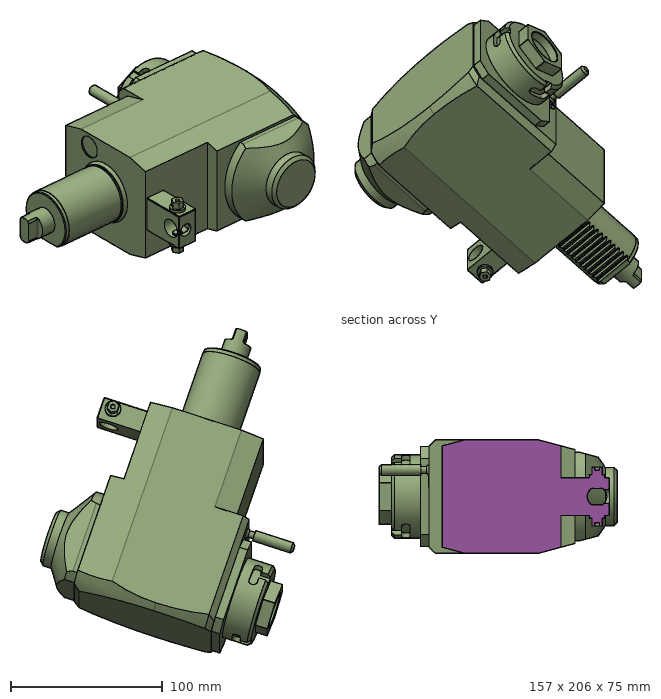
import cadquery as cq
import math


HALF_HEIGHT = 37.5
SPINDLE_Y = 100.0
BACK_Y = 134.0
HEAD_LEFT = -47.8
HEAD_RIGHT = 48.5
HEAD_FRONT_Y = 55.0
NECK_HALF_WIDTH = 39.2
SLOPE_START_X = 24.0
SLOPE = math.tan(math.radians(15))
HEAD_EDGE_CHAMFER = 4.2
BACK_CORNER_X = 4.6
BACK_CORNER_Y = 3.6
CROWN_CENTRE_X = -8.0
CROWN_RADIUS = 47.7
CROWN_LEFT_ARC_RADIUS = 290.0
CROWN_RIGHT_ARC_RADIUS = 180.0
CROWN_LEFT_CHAMFER = 2.0
MARK_X = -15.9
MARK_Z = 27.3
MARK_RADIUS = 7.7
MARK_DEPTH = 1.0

PLATE_LEFT = -53.5
PLATE_HALF = 33.0
PLATE_CHAMFER = 8.0
NUT_LEFT = -72.6
NUT_RADIUS = 27.6
NUT_CHAMFER = 2.0
NUT_SLOT_COUNT = 3
NUT_SLOT_X = -63.0
NUT_SLOT_WIDTH = 5.6
NUT_SLOT_HALF_ANGLE = 19.3
NUT_SLOT_DEPTH = 3.3
HEX_LEFT = -80.7
HEX_FLATS = 32.0
HEX_TURNED_RADIUS = 18.4
HEX_BORE_RADIUS = 12.0
HEX_BORE_DEPTH = 6.0
HEX_BORE_CHAMFER = 0.4

PIN_Y = 60.5
PIN_Z = 17.5
PIN_LEFT = -80.7
PIN_RADIUS = 3.6
PIN_CHAMFER = 1.5
PIN_NECK_LEFT = -53.2
PIN_NECK_RADIUS = 2.3
PIN_COLLAR_LEFT = -49.6
PIN_COLLAR_RADIUS = 3.9
PLUG_Z = 10.4
PLUG_RADIUS = 4.0
PLUG_HEIGHT = 0.5
PLUG_HOLE_RADIUS = 1.5
PLUG_HOLE_DEPTH = 2.0

CAP_RADIUS = 38.0
CAP_CONE_X = 55.4
CAP_BOSS_X = 68.3
CAP_RIGHT = 76.3
CAP_BOSS_RADIUS = 19.3
CAP_BOSS_CHAMFER = 2.3
CAP_FLAT_Y = 130.0
CAP_FLAT_Z = 29.2
CAP_SLOPE_X = 51.5

SHANK_RADIUS = 20.0
SHANK_END_Y = -53.2
SHANK_END_STEP = 3.0
SHANK_END_RADIUS = 19.7
SHANK_END_CHAMFER = 0.6
COLLAR_RADIUS = 21.5
COLLAR_LENGTH = 2.6
COLLAR_ROUNDING = 1.2
COLLAR_GROOVE_RADIUS = 19.7
COLLAR_GROOVE_END_Y = -3.9
RACK_Z = -15.7
RACK_RAMP_Y = -4.6
RACK_PITCH = 4.0
RACK_GROOVES = 10
RACK_FIRST_Y = -12.2
RACK_GROOVE_DEPTH = 1.4
RACK_GROOVE_HALF_WIDTH = 1.5
RACK_ROOT_HALF_WIDTH = 0.4
DRIVE_RADIUS = 9.1
DRIVE_SHOULDER_Y = -64.0
DRIVE_END_Y = -72.0
TANG_WIDTH = 8.2
TANG_FLAT_HALF_HEIGHT = 6.7
TANG_EDGE_RELIEF = 1.0
TANG_ROOT_FILLET = 0.6

BRACKET_RIGHT = 71.0
BRACKET_FRONT_Y = 1.2
BRACKET_BACK_Y = 16.0
BRACKET_HALF_HEIGHT = 12.5
BRACKET_CHAMFER = 0.5
BRACKET_HOLE_X = 62.9
BRACKET_HOLE_RADIUS = 6.4
BRACKET_SIDE_HOLE_RADIUS = 4.5
BOLT_Y = 7.1
WASHER_RADIUS = 5.2
WASHER_HEIGHT = 1.9
BOLT_FLATS = 7.0
BOLT_HEIGHT = 5.0
BOLT_TIP_RADIUS = 3.3
BOLT_TIP_CHAMFER = 0.4
BOLT_TIP_Z = 5.3
BOLT_HOLE_RADIUS = 1.5
BOLT_HOLE_DEPTH = 2.0


def box(x0, x1, y0, y1, z0, z1):
    """Box given by its limits along X, Y and Z."""
    return cq.Workplane("XY").box(x1 - x0, y1 - y0, z1 - z0, centered=False).translate((x0, y0, z0))


def prism_y(points, y0, y1):
    """Prism with an (x, z) outline, running from y0 to y1."""
    return cq.Workplane("XZ").polyline(points).close().extrude(y0 - y1).translate((0, y0, 0))


def cylinder_x(radius, x0, x1, y, z):
    """Cylinder along X from x0 to x1."""
    return cq.Workplane("YZ").center(y, z).circle(radius).extrude(x1 - x0).translate((x0, 0, 0))


def cylinder_y(radius, y0, y1, x=0, z=0):
    """Cylinder along Y from y0 to y1."""
    return cq.Workplane("XZ").center(x, z).circle(radius).extrude(y0 - y1).translate((0, y0, 0))


def turned_x(profile, y, z):
    """Solid turned about an axis along X from (x, radius) points; the axis closes the outline."""
    outline = [(profile[0][0], 0)] + profile + [(profile[-1][0], 0)]
    return cq.Workplane("XY").polyline(outline).close().revolve(360, (0, 0), (1, 0)).translate((0, y, z))


def sloped_height(x):
    """Half height of the housing on its sloped right part."""
    return HALF_HEIGHT - (x - SLOPE_START_X) * SLOPE


def mirrored_outline(upper):
    """Closed (x, z) outline from its upper half, listed left to right."""
    return upper + [(x, -z) for x, z in reversed(upper)]


def make_crown():
    """Envelope that rounds the back of the head about the spindle axis."""
    def on_arc(x, arc_radius):
        offset = x - CROWN_CENTRE_X
        return (x, CROWN_RADIUS - arc_radius + math.sqrt(arc_radius**2 - offset**2))

    arc_left = HEAD_LEFT + HEAD_EDGE_CHAMFER
    left_middle = on_arc((arc_left + CROWN_CENTRE_X) / 2, CROWN_LEFT_ARC_RADIUS)
    left_end = on_arc(arc_left, CROWN_LEFT_ARC_RADIUS)
    right_middle = on_arc((CROWN_CENTRE_X + HEAD_RIGHT) / 2, CROWN_RIGHT_ARC_RADIUS)
    right_end = on_arc(HEAD_RIGHT, CROWN_RIGHT_ARC_RADIUS)
    turned = (
        cq.Workplane("XY")
        .moveTo(HEAD_LEFT, 0)
        .lineTo(HEAD_LEFT, left_end[1] - CROWN_LEFT_CHAMFER)
        .lineTo(*left_end)
        .threePointArc(left_middle, (CROWN_CENTRE_X, CROWN_RADIUS))
        .threePointArc(right_middle, right_end)
        .lineTo(HEAD_RIGHT, 0)
        .close()
        .revolve(360, (0, 0), (1, 0))
        .translate((0, SPINDLE_Y, 0))
    )
    return turned.union(box(HEAD_LEFT, HEAD_RIGHT, 0, SPINDLE_Y, -HALF_HEIGHT, HALF_HEIGHT))


def make_housing():
    head_outline = mirrored_outline([
        (HEAD_LEFT, HALF_HEIGHT - HEAD_EDGE_CHAMFER),
        (HEAD_LEFT + HEAD_EDGE_CHAMFER, HALF_HEIGHT),
        (SLOPE_START_X, HALF_HEIGHT),
        (HEAD_RIGHT, sloped_height(HEAD_RIGHT)),
    ])
    neck_outline = mirrored_outline([
        (-NECK_HALF_WIDTH, sloped_height(NECK_HALF_WIDTH)),
        (-SLOPE_START_X, HALF_HEIGHT),
        (SLOPE_START_X, HALF_HEIGHT),
        (NECK_HALF_WIDTH, sloped_height(NECK_HALF_WIDTH)),
    ])
    back_corner = (
        cq.Workplane("XY")
        .polyline([
            (HEAD_RIGHT, BACK_Y),
            (HEAD_RIGHT - BACK_CORNER_X, BACK_Y),
            (HEAD_RIGHT, BACK_Y - BACK_CORNER_Y),
        ])
        .close()
        .extrude(HALF_HEIGHT, both=True)
    )
    head = prism_y(head_outline, HEAD_FRONT_Y, BACK_Y).intersect(make_crown()).cut(back_corner)
    housing = head.union(prism_y(neck_outline, 0, HEAD_FRONT_Y))
    return housing.cut(cylinder_y(MARK_RADIUS, 0, MARK_DEPTH, MARK_X, MARK_Z))


def make_plate():
    side = 2 * PLATE_HALF
    plate = cq.Workplane("YZ").rect(side, side).extrude(HEAD_LEFT - PLATE_LEFT)
    plate = plate.translate((PLATE_LEFT, SPINDLE_Y, 0))
    return plate.edges("|X").chamfer(PLATE_CHAMFER)


def nut_slot(angle):
    """Curved wrench slot with round ends, and the open notch leading into it."""
    floor_radius = NUT_RADIUS - NUT_SLOT_DEPTH
    half_width = NUT_SLOT_WIDTH / 2
    end_angle = NUT_SLOT_HALF_ANGLE - math.degrees(half_width / NUT_RADIUS)
    rim = NUT_RADIUS + 1
    slot = (
        cq.Workplane("XY")
        .center(NUT_SLOT_X, 0)
        .rect(NUT_SLOT_WIDTH, 2 * rim)
        .extrude(rim)
    )
    wedge_reach = 2 * rim
    wedge_half = wedge_reach * math.tan(math.radians(end_angle))
    wedge = (
        cq.Workplane("YZ")
        .polyline([(0, 0), (wedge_half, wedge_reach), (-wedge_half, wedge_reach)])
        .close()
        .extrude(NUT_SLOT_WIDTH)
        .translate((NUT_SLOT_X - half_width, 0, 0))
    )
    slot = slot.intersect(wedge)
    for side in (-end_angle, end_angle):
        end = cq.Workplane("XY").center(NUT_SLOT_X, 0).circle(half_width).extrude(rim)
        slot = slot.union(end.rotate((0, 0, 0), (1, 0, 0), side))
    notch = box(NUT_LEFT, NUT_SLOT_X, -half_width, half_width, 0, rim)
    cutter = slot.union(notch).cut(cylinder_x(floor_radius, NUT_LEFT, PLATE_LEFT, 0, 0))
    return cutter.rotate((0, 0, 0), (1, 0, 0), angle).translate((0, SPINDLE_Y, 0))


def make_nut():
    nut = turned_x(
        [
            (NUT_LEFT, NUT_RADIUS - NUT_CHAMFER),
            (NUT_LEFT + NUT_CHAMFER, NUT_RADIUS),
            (PLATE_LEFT, NUT_RADIUS),
        ],
        SPINDLE_Y,
        0,
    )
    for index in range(NUT_SLOT_COUNT):
        nut = nut.cut(nut_slot(-90 + index * 360 / NUT_SLOT_COUNT))
    bore = cylinder_x(HEX_BORE_RADIUS, HEX_LEFT, HEX_LEFT + HEX_BORE_DEPTH, SPINDLE_Y, 0)
    bore_mouth = turned_x(
        [
            (HEX_LEFT, HEX_BORE_RADIUS + HEX_BORE_CHAMFER),
            (HEX_LEFT + HEX_BORE_CHAMFER, HEX_BORE_RADIUS),
        ],
        SPINDLE_Y,
        0,
    )
    hexagon = (
        cq.Workplane("YZ")
        .polygon(6, HEX_FLATS / math.cos(math.pi / 6))
        .extrude(NUT_LEFT - HEX_LEFT)
        .rotate((0, 0, 0), (1, 0, 0), 90)
        .translate((HEX_LEFT, SPINDLE_Y, 0))
        .intersect(cylinder_x(HEX_TURNED_RADIUS, HEX_LEFT, NUT_LEFT, SPINDLE_Y, 0))
        .cut(bore)
        .cut(bore_mouth)
    )
    return nut.union(hexagon)


def make_pin():
    return turned_x(
        [
            (PIN_LEFT, PIN_RADIUS - PIN_CHAMFER),
            (PIN_LEFT + PIN_CHAMFER, PIN_RADIUS),
            (PIN_NECK_LEFT, PIN_RADIUS),
            (PIN_NECK_LEFT, PIN_NECK_RADIUS),
            (PIN_COLLAR_LEFT, PIN_NECK_RADIUS),
            (HEAD_LEFT, PIN_COLLAR_RADIUS),
        ],
        PIN_Y,
        PIN_Z,
    )


def make_cap():
    turned = turned_x(
        [
            (HEAD_RIGHT, CAP_RADIUS),
            (CAP_CONE_X, CAP_RADIUS),
            (CAP_BOSS_X, CAP_BOSS_RADIUS),
            (CAP_RIGHT - CAP_BOSS_CHAMFER, CAP_BOSS_RADIUS),
            (CAP_RIGHT, CAP_BOSS_RADIUS - CAP_BOSS_CHAMFER),
        ],
        SPINDLE_Y,
        0,
    )
    side_outline = mirrored_outline([
        (HEAD_RIGHT, CAP_FLAT_Z),
        (CAP_SLOPE_X, CAP_FLAT_Z),
        (CAP_RIGHT, CAP_FLAT_Z - (CAP_RIGHT - CAP_SLOPE_X) * SLOPE),
    ])
    return turned.intersect(prism_y(side_outline, SPINDLE_Y - CAP_RADIUS, CAP_FLAT_Y))


def make_shank():
    shank = (
        cq.Workplane("XY")
        .lineTo(COLLAR_RADIUS, 0)
        .radiusArc((COLLAR_RADIUS - COLLAR_ROUNDING, -COLLAR_LENGTH), COLLAR_LENGTH)
        .lineTo(COLLAR_GROOVE_RADIUS, -COLLAR_LENGTH)
        .lineTo(COLLAR_GROOVE_RADIUS, COLLAR_GROOVE_END_Y)
        .lineTo(SHANK_RADIUS, COLLAR_GROOVE_END_Y)
        .lineTo(SHANK_RADIUS, SHANK_END_Y + SHANK_END_STEP)
        .lineTo(SHANK_END_RADIUS, SHANK_END_Y + SHANK_END_STEP)
        .lineTo(SHANK_END_RADIUS, SHANK_END_Y + SHANK_END_CHAMFER)
        .lineTo(SHANK_END_RADIUS - SHANK_END_CHAMFER, SHANK_END_Y)
        .lineTo(0, SHANK_END_Y)
        .close()
        .revolve(360, (0, 0), (0, 1))
    )
    ramp = COLLAR_RADIUS + RACK_Z
    rack_flat = (
        cq.Workplane("YZ")
        .polyline([
            (RACK_RAMP_Y, RACK_Z - ramp),
            (RACK_RAMP_Y - ramp, RACK_Z),
            (SHANK_END_Y, RACK_Z),
            (SHANK_END_Y, RACK_Z - ramp),
        ])
        .close()
        .extrude(SHANK_RADIUS, both=True)
    )
    shank = shank.cut(rack_flat)
    for index in range(RACK_GROOVES):
        y = RACK_FIRST_Y - index * RACK_PITCH
        groove = (
            cq.Workplane("YZ")
            .polyline([
                (y - RACK_GROOVE_HALF_WIDTH, RACK_Z),
                (y - RACK_ROOT_HALF_WIDTH, RACK_Z + RACK_GROOVE_DEPTH),
                (y + RACK_ROOT_HALF_WIDTH, RACK_Z + RACK_GROOVE_DEPTH),
                (y + RACK_GROOVE_HALF_WIDTH, RACK_Z),
            ])
            .close()
            .extrude(SHANK_RADIUS, both=True)
        )
        shank = shank.cut(groove)
    return shank


def make_drive():
    """Drive journal ending in a flat tang with bevelled long edges and filleted roots."""
    journal = cylinder_y(DRIVE_RADIUS, DRIVE_SHOULDER_Y, SHANK_END_Y)
    half = TANG_WIDTH / 2
    tip_half = half - TANG_EDGE_RELIEF
    bevelled = prism_y(
        mirrored_outline([
            (-half, TANG_FLAT_HALF_HEIGHT),
            (-tip_half, DRIVE_RADIUS),
            (tip_half, DRIVE_RADIUS),
            (half, TANG_FLAT_HALF_HEIGHT),
        ]),
        DRIVE_END_Y,
        DRIVE_SHOULDER_Y,
    )
    tang = bevelled.intersect(cylinder_y(DRIVE_RADIUS, DRIVE_END_Y, DRIVE_SHOULDER_Y))
    outer = half + TANG_ROOT_FILLET
    root = (
        cq.Workplane("XY")
        .moveTo(-outer, DRIVE_SHOULDER_Y)
        .radiusArc((-half, DRIVE_SHOULDER_Y - TANG_ROOT_FILLET), TANG_ROOT_FILLET)
        .lineTo(half, DRIVE_SHOULDER_Y - TANG_ROOT_FILLET)
        .radiusArc((outer, DRIVE_SHOULDER_Y), TANG_ROOT_FILLET)
        .close()
        .extrude(DRIVE_RADIUS, both=True)
        .intersect(cylinder_y(DRIVE_RADIUS, DRIVE_END_Y, DRIVE_SHOULDER_Y))
    )
    return journal.union(tang).union(root)


def make_bolt():
    """Upper clamping bolt: flanged hexagon head, and a shank whose tip enters the bracket hole."""
    top = BRACKET_HALF_HEIGHT + WASHER_HEIGHT + BOLT_HEIGHT
    washer = cq.Workplane("XY").circle(WASHER_RADIUS).extrude(WASHER_HEIGHT)
    head = (
        cq.Workplane("XY")
        .polygon(6, BOLT_FLATS / math.cos(math.pi / 6))
        .extrude(BOLT_HEIGHT)
        .rotate((0, 0, 0), (0, 0, 1), 30)
        .translate((0, 0, WASHER_HEIGHT))
    )
    tip = (
        cq.Workplane("XY")
        .circle(BOLT_TIP_RADIUS)
        .extrude(BRACKET_HALF_HEIGHT - BOLT_TIP_Z)
        .faces("<Z")
        .chamfer(BOLT_TIP_CHAMFER)
        .translate((0, 0, BOLT_TIP_Z - BRACKET_HALF_HEIGHT))
    )
    bolt = washer.union(head).union(tip).translate((BRACKET_HOLE_X, BOLT_Y, BRACKET_HALF_HEIGHT))
    hole = (
        cq.Workplane("XY")
        .circle(BOLT_HOLE_RADIUS)
        .extrude(BOLT_HOLE_DEPTH)
        .translate((BRACKET_HOLE_X, BOLT_Y, top - BOLT_HOLE_DEPTH))
    )
    return bolt.cut(hole)


def make_bracket():
    block = box(
        NECK_HALF_WIDTH, BRACKET_RIGHT,
        BRACKET_FRONT_Y, BRACKET_BACK_Y,
        -BRACKET_HALF_HEIGHT, BRACKET_HALF_HEIGHT,
    )
    block = block.edges(">X or (<Y and |X)").chamfer(BRACKET_CHAMFER)
    block = block.cut(cylinder_y(BRACKET_HOLE_RADIUS, BRACKET_FRONT_Y, BRACKET_BACK_Y, BRACKET_HOLE_X, 0))
    side_hole = cylinder_x(BRACKET_SIDE_HOLE_RADIUS, BRACKET_HOLE_X, BRACKET_RIGHT, BOLT_Y, 0)
    block = block.cut(side_hole)
    bolt = make_bolt()
    return block.union(bolt).union(bolt.mirror("XY"))


def make_plug():
    """Low round plug on the left face of the head."""
    return cylinder_x(PLUG_RADIUS, HEAD_LEFT - PLUG_HEIGHT, HEAD_LEFT, PIN_Y, PLUG_Z)


def make_plug_hole():
    mouth = HEAD_LEFT - PLUG_HEIGHT
    return cylinder_x(PLUG_HOLE_RADIUS, mouth, mouth + PLUG_HOLE_DEPTH, PIN_Y, PLUG_Z)


pieces = [
    make_plate(),
    make_nut(),
    make_plug(),
    make_pin(),
    make_cap(),
    make_shank(),
    make_drive(),
    make_bracket(),
]

result = make_housing()
for piece in pieces:
    result = result.union(piece)
result = result.cut(make_plug_hole())